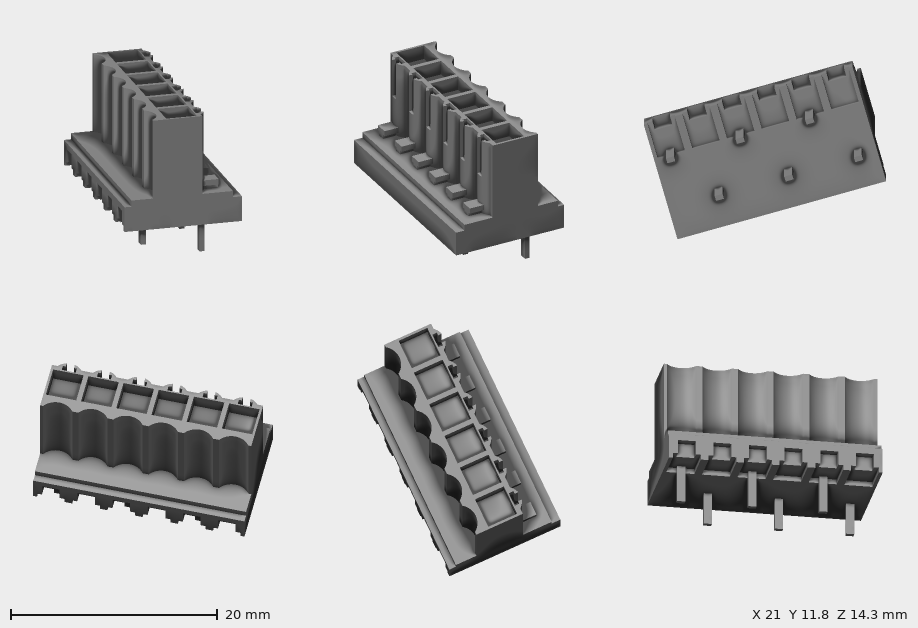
import cadquery as cq


pole_count = 6
row_length = 21.0
pitch = row_length / pole_count
pole_centres = [(pole - (pole_count - 1) / 2) * pitch for pole in range(pole_count)]

base_depth = 11.85
base_height = 3.15
step_height = 2.52
front_step_width = 0.7
back_step_width = 0.92

tower_front = 2.88
tower_back = 7.83
tower_top = 11.1

flute_width = 2.9
flute_depth = 0.75
bulge_width = 2.35
bulge_height = 0.57

recess_width = 3.02
recess_length = 3.07
recess_front = 4.26
recess_depth = 1.5

t_head_width = 1.39
t_neck_width = 0.8
keyway_front = 7.48
keyway_head_depth = 0.48
keyway_length = 3.95
tab_back = 9.79
tab_neck_height = 0.42
tab_head_height = 0.57

foot_notch_width = 2.75
foot_notch_height = 0.5
upper_notch_width = 1.76
upper_notch_top = 1.9
upper_notch_depth = 0.9

pin_width = 0.8
pin_thickness = 0.5
pin_projection = 3.2
front_pin_centre = 3.32
back_pin_centre = 8.21
foot_notch_depth = front_pin_centre + pin_thickness / 2


def block(centre_x, width, y_start, y_end, z_start, z_end):
    """Box centred on centre_x between the given Y and Z limits."""
    return (
        cq.Workplane("XY")
        .box(width, y_end - y_start, z_end - z_start, centered=(True, False, False))
        .translate((centre_x, y_start, z_start))
    )


def arc_column(centre_x, chord_y, chord_width, rise):
    """Upright column over the tower height, bounded by a chord and an arc that rises toward +Y."""
    half_chord = chord_width / 2
    return (
        cq.Workplane("XY", origin=(centre_x, chord_y, base_height))
        .moveTo(-half_chord, 0)
        .threePointArc((0, rise), (half_chord, 0))
        .close()
        .extrude(tower_top - base_height)
    )


def body_block():
    """Base and tower as one inverted-T profile along the row."""
    back_step_y = base_depth - back_step_width
    profile = [
        (0, 0),
        (base_depth, 0),
        (base_depth, step_height),
        (back_step_y, step_height),
        (back_step_y, base_height),
        (tower_back, base_height),
        (tower_back, tower_top),
        (tower_front, tower_top),
        (tower_front, base_height),
        (front_step_width, base_height),
        (front_step_width, step_height),
        (0, step_height),
    ]
    return cq.Workplane("YZ").polyline(profile).close().extrude(row_length / 2, both=True)


def top_recess(x):
    """Square blind recess in the top of the tower."""
    recess_back = recess_front + recess_length
    return block(x, recess_width, recess_front, recess_back, tower_top - recess_depth, tower_top)


def keyway(x):
    """T-shaped slot cut down from the top, opening through the bulge."""
    head_back = keyway_front + keyway_head_depth
    bulge_back = tower_back + bulge_height
    floor = tower_top - keyway_length
    head = block(x, t_head_width, keyway_front, head_back, floor, tower_top)
    neck = block(x, t_neck_width, head_back, bulge_back, floor, tower_top)
    return head.union(neck)


def tab(x):
    """T-shaped tab standing on the base behind the tower."""
    neck_top = base_height + tab_neck_height
    neck = block(x, t_neck_width, tower_back, tab_back, base_height, neck_top)
    head = block(x, t_head_width, tower_back, tab_back, neck_top, neck_top + tab_head_height)
    return neck.union(head)


def front_notch(x):
    """Wide low notch under the base with a narrower, shallower notch above it."""
    foot = block(x, foot_notch_width, 0, foot_notch_depth, 0, foot_notch_height)
    upper = block(x, upper_notch_width, 0, upper_notch_depth, foot_notch_height, upper_notch_top)
    return foot.union(upper)


def pin(x, centre_y):
    """Straight pin hanging from the level of the foot notch ceiling."""
    half_thickness = pin_thickness / 2
    front = centre_y - half_thickness
    back = centre_y + half_thickness
    return block(x, pin_width, front, back, -pin_projection, foot_notch_height)


def make_pins():
    """One separate pin per pole, the first one in the front row."""
    rows = (front_pin_centre, back_pin_centre)
    return [pin(x, rows[pole % len(rows)]) for pole, x in enumerate(pole_centres)]


def make_housing(pins):
    """Housing with the features of every pole and a matching seat for each pin."""
    housing = body_block()
    for x in pole_centres:
        housing = housing.union(arc_column(x, tower_back, bulge_width, bulge_height)).union(tab(x))
        housing = housing.cut(arc_column(x, tower_front, flute_width, flute_depth))
        housing = housing.cut(top_recess(x)).cut(keyway(x)).cut(front_notch(x))
    for seated_pin in pins:
        housing = housing.cut(seated_pin)
    return housing


pins = make_pins()
housing = make_housing(pins)

result = cq.Compound.makeCompound([housing.val(), *[single_pin.val() for single_pin in pins]])